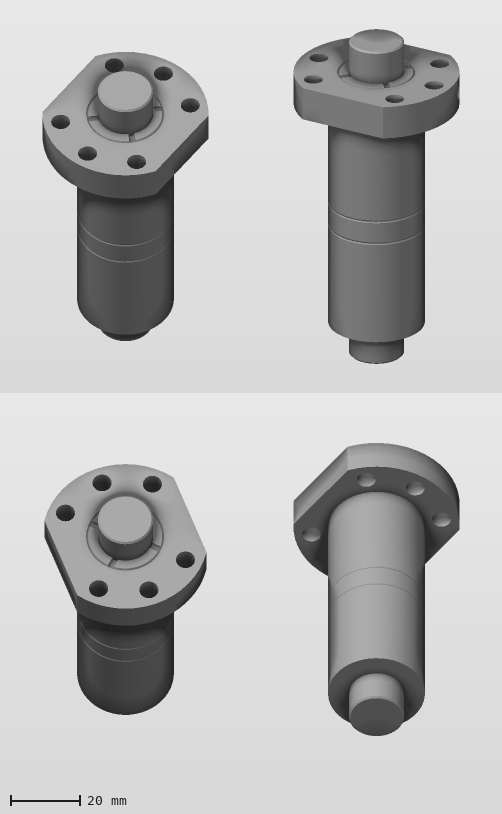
import cadquery as cq
import math

SHAFT_DIAMETER = 16.0
SHAFT_LENGTH = 100.0
SHAFT_CHAMFER = 0.5

BODY_DIAMETER = 28.0
SHAFT_PROTRUSION = 10.0
BODY_LENGTH = SHAFT_LENGTH - 2 * SHAFT_PROTRUSION
BODY_TOP = BODY_LENGTH / 2

FLANGE_DIAMETER = 48.0
FLANGE_WIDTH = 40.0
FLANGE_THICKNESS = 10.0
FLANGE_MIDDLE = BODY_TOP - FLANGE_THICKNESS / 2

BOLT_HOLE_DIAMETER = 5.5
BOLT_CIRCLE_DIAMETER = 38.0
BOLT_ANGLES = (45, 90, 135, 225, 270, 315)

OIL_HOLE_DIAMETER = 4.92
OIL_HOLE_ANGLE = (BOLT_ANGLES[1] + BOLT_ANGLES[2]) / 2
OIL_HOLE_DEPTH = 10.0

BODY_GROOVE_WIDTH = 0.8
BODY_GROOVE_DEPTH = 0.2
BODY_GROOVE_MIDDLE = -FLANGE_THICKNESS / 2
BODY_GROOVE_SPACING = 7.0

SEAL_DIAMETER = 22.0
SEAL_GROOVE_WIDTH = 0.75
NOTCH_DIAMETER = 1.8
NOTCH_SKEW = -6.0
NOTCH_INNER_RADIUS = SHAFT_DIAMETER / 2 - NOTCH_DIAMETER
NOTCH_ANGLES = (46.5, 136.5, 226.5, 316.5)


def make_shaft():
    shaft = cq.Workplane("XY").circle(SHAFT_DIAMETER / 2).extrude(SHAFT_LENGTH / 2, both=True)
    return shaft.faces("|Z").chamfer(SHAFT_CHAMFER)


def make_flange():
    flats = cq.Workplane("XY").box(FLANGE_WIDTH, FLANGE_DIAMETER, FLANGE_THICKNESS)
    disc = cq.Workplane("XY").circle(FLANGE_DIAMETER / 2).extrude(FLANGE_THICKNESS / 2, both=True)
    return disc.intersect(flats).translate((0, 0, FLANGE_MIDDLE))


def make_bolt_holes():
    radius = BOLT_CIRCLE_DIAMETER / 2
    centres = [
        (radius * math.cos(math.radians(angle)), radius * math.sin(math.radians(angle)))
        for angle in BOLT_ANGLES
    ]
    holes = cq.Workplane("XY", origin=(0, 0, BODY_TOP)).pushPoints(centres)
    return holes.circle(BOLT_HOLE_DIAMETER / 2).extrude(-FLANGE_THICKNESS)


def make_radial_cylinder(diameter, inner_radius, outer_radius, height, angle):
    """Cylinder pointing away from the shaft axis at the given height and angle."""
    cylinder = cq.Workplane("YZ", origin=(inner_radius, 0, height)).circle(diameter / 2)
    cylinder = cylinder.extrude(outer_radius - inner_radius)
    return cylinder.rotate((0, 0, 0), (0, 0, 1), angle)


def make_body_groove(height):
    """Ring with a V section that cuts into the body wall."""
    radius = BODY_DIAMETER / 2
    half_width = BODY_GROOVE_WIDTH / 2
    section = cq.Workplane("XZ").polyline([
        (radius, height - half_width),
        (radius - BODY_GROOVE_DEPTH, height),
        (radius, height + half_width),
    ]).close()
    return section.revolve(360, (0, 0), (0, 1))


def make_seal_groove():
    """Ring with a 90 degree V section that cuts into the top face."""
    radius = SEAL_DIAMETER / 2
    half_width = SEAL_GROOVE_WIDTH / 2
    section = cq.Workplane("XZ").polyline([
        (radius - half_width, BODY_TOP),
        (radius, BODY_TOP - half_width),
        (radius + half_width, BODY_TOP),
    ]).close()
    return section.revolve(360, (0, 0), (0, 1))


def make_notches():
    """Half-round channels from the shaft to the seal groove, each skewed slightly off the radius."""
    outer_radius = SEAL_DIAMETER / 2
    middle_radius = (SHAFT_DIAMETER / 2 + outer_radius) / 2
    seal = cq.Workplane("XY", origin=(0, 0, BODY_TOP)).circle(outer_radius).extrude(-NOTCH_DIAMETER)

    pivot = (middle_radius, 0, 0)
    pivot_top = (middle_radius, 0, 1)
    notches = cq.Workplane("XY")
    for angle in NOTCH_ANGLES:
        notch = make_radial_cylinder(NOTCH_DIAMETER, NOTCH_INNER_RADIUS, BODY_DIAMETER / 2, BODY_TOP, 0)
        notch = notch.rotate(pivot, pivot_top, NOTCH_SKEW)
        notches = notches.add(notch.rotate((0, 0, 0), (0, 0, 1), angle))
    return notches.combine().intersect(seal)


def make_nut():
    nut = cq.Workplane("XY").circle(BODY_DIAMETER / 2).extrude(BODY_LENGTH / 2, both=True)
    nut = nut.union(make_flange()).cut(make_bolt_holes())

    rim = FLANGE_DIAMETER / 2
    nut = nut.cut(
        make_radial_cylinder(OIL_HOLE_DIAMETER, rim - OIL_HOLE_DEPTH, rim, FLANGE_MIDDLE, OIL_HOLE_ANGLE)
    )

    for side in (-1, 1):
        nut = nut.cut(make_body_groove(BODY_GROOVE_MIDDLE + side * BODY_GROOVE_SPACING / 2))

    return nut.cut(make_seal_groove()).cut(make_notches())


result = make_nut().union(make_shaft())